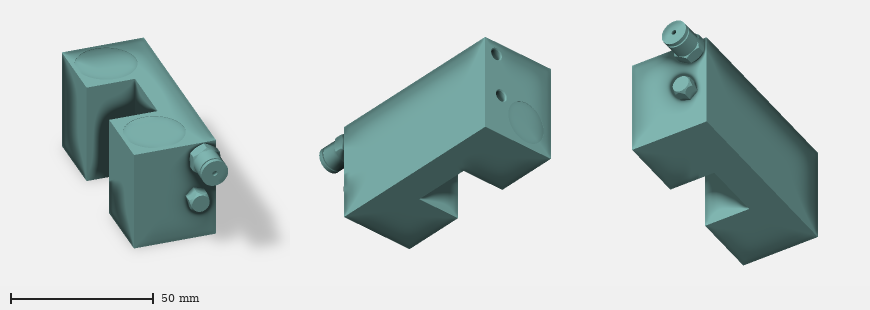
import cadquery as cq
import math

block_length = 75.0
block_depth = 30.5
block_height = 38.0
slot_width = 23.5
bridge_depth = 12.5
slot_depth = block_depth - bridge_depth

recess_depth = 0.15
top_recess_diameter = 22.0
top_recess_pitch = 50.0
top_recess_y = 12.0
side_recess_diameter = 16.5
side_recess_y = 11.5
side_recess_z = 10.25

port_diameter = 4.2
port_mouth_diameter = 5.0
port_depth = 8.0
port_chamfer = (port_mouth_diameter - port_diameter) / 2
passage_diameter = 2.9

upper_axis = (25.25, 33.0)
lower_axis = (23.0, 16.5)

fitting_bore_diameter = 1.9
fitting_across_flats = 10.0
fitting_neck_radius = 4.0
fitting_neck_end = 0.5
fitting_front_cone_end = 1.9
fitting_back_cone_start = 4.85
fitting_hex_end = 5.4
sleeve_radius = 4.95
sleeve_end = 11.4
groove_radius = 3.5
collar_start = 12.0
fitting_length = 13.5

plug_across_flats = 7.0
plug_length = 5.2
plug_corner_angle = -17.6
plug_end_radius = 3.25
plug_cone_angle = 25.0


def corner_radius(across_flats):
    """Distance from the axis of a hexagon to its corners."""
    return across_flats / 2 / math.cos(math.radians(30))


def x_cylinder(axis, diameter, start, length):
    """Cylinder along +X on the given (Y, Z) axis."""
    plane = cq.Workplane("YZ", origin=(start, *axis))
    return plane.circle(diameter / 2).extrude(length)


def x_hexagon(axis, across_flats, start, length, corner_angle):
    """Hexagonal bar along +X with one corner at the given angle from +Y."""
    plane = cq.Workplane("YZ", origin=(start, *axis))
    bar = plane.polygon(6, 2 * corner_radius(across_flats)).extrude(length)
    return bar.rotate((0, *axis), (1, *axis), corner_angle)


def x_turned(axis, start, profile):
    """Solid turned about the given X axis from (distance, radius) points."""
    last_distance = profile[-1][0]
    outline = [(profile[0][0], 0), *profile, (last_distance, 0)]
    plane = cq.Workplane("XY", origin=(start, *axis))
    return plane.polyline(outline).close().revolve(360, (0, 0), (1, 0))


def port(axis):
    """Blind round port in the -X face with a chamfered mouth."""
    bore = x_cylinder(axis, port_diameter, 0, port_depth)
    mouth = x_turned(axis, 0, [(0, port_mouth_diameter / 2), (port_chamfer, port_diameter / 2)])
    return bore.union(mouth)


def make_block():
    block = cq.Workplane("XY").box(block_length, block_depth, block_height, centered=False)

    slot = cq.Workplane("XY").box(slot_width, slot_depth, block_height, centered=False)
    block = block.cut(slot.translate(((block_length - slot_width) / 2, 0, 0)))

    for side in (-1, 1):
        recess_x = block_length / 2 + side * top_recess_pitch / 2
        recess_floor = cq.Workplane("XY", origin=(recess_x, top_recess_y, block_height - recess_depth))
        block = block.cut(recess_floor.circle(top_recess_diameter / 2).extrude(recess_depth))
    block = block.cut(x_cylinder((side_recess_y, side_recess_z), side_recess_diameter, 0, recess_depth))

    for axis in (upper_axis, lower_axis):
        block = block.cut(port(axis))
    return block.cut(x_cylinder(upper_axis, passage_diameter, 0, block_length))


def make_fitting():
    hex_corner = corner_radius(fitting_across_flats)
    hex_length = fitting_hex_end - fitting_neck_end
    hex_start = block_length + fitting_neck_end
    hexagon = x_hexagon(upper_axis, fitting_across_flats, hex_start, hex_length, 90)
    hex_envelope = x_turned(upper_axis, block_length, [
        (fitting_neck_end, fitting_neck_radius),
        (fitting_front_cone_end, hex_corner),
        (fitting_back_cone_start, hex_corner),
        (fitting_hex_end, sleeve_radius),
    ])
    neck = x_cylinder(upper_axis, 2 * fitting_neck_radius, block_length, fitting_neck_end)
    sleeve = x_turned(upper_axis, block_length + fitting_hex_end, [
        (0, sleeve_radius),
        (sleeve_end - fitting_hex_end, sleeve_radius),
        (sleeve_end - fitting_hex_end, groove_radius),
        (collar_start - fitting_hex_end, groove_radius),
        (collar_start - fitting_hex_end, sleeve_radius),
        (fitting_length - fitting_hex_end, sleeve_radius),
    ])
    bore = x_cylinder(upper_axis, fitting_bore_diameter, block_length, fitting_length)
    return hexagon.intersect(hex_envelope).union(neck).union(sleeve).cut(bore)


def make_plug():
    hex_corner = corner_radius(plug_across_flats)
    cone_length = (hex_corner - plug_end_radius) / math.tan(math.radians(plug_cone_angle))
    hexagon = x_hexagon(lower_axis, plug_across_flats, block_length, plug_length, plug_corner_angle)
    envelope = x_turned(lower_axis, block_length, [
        (0, hex_corner),
        (plug_length - cone_length, hex_corner),
        (plug_length, plug_end_radius),
    ])
    return hexagon.intersect(envelope)


block = make_block()
fitting = make_fitting()
plug = make_plug()

result = cq.Compound.makeCompound([block.val(), fitting.val(), plug.val()])